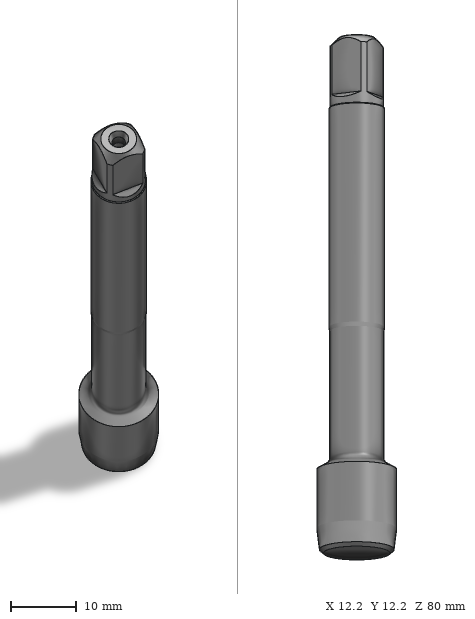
import cadquery as cq
import math

total_length = 80.0

head_diameter = 12.2
head_length = 13.0
tip_diameter = 11.4
tip_chamfer_width = 0.6
tip_chamfer_height = 0.6
lead_length = 3.8

neck_diameter = 8.2
shoulder_angle = 30.0
neck_fillet = 1.2

shank_diameter = 8.5
shank_start = 35.0
shank_end = 69.0
shank_run_in = 0.6
shank_end_chamfer = 0.2

collar_diameter = 8.2
square_width = 6.4
square_length = 9.0
square_runout_angle = 40.0
square_end_diameter = 5.4

centre_diameter = 2.0
centre_mouth_diameter = 3.0
centre_depth = 2.4
countersink_angle = 60.0
drill_point_angle = 118.0


def make_head():
    """Cylindrical head with a tapered lead and a chamfered tip."""
    head_radius = head_diameter / 2
    tip_radius = tip_diameter / 2
    return (
        cq.Workplane("XZ")
        .moveTo(0, 0)
        .lineTo(tip_radius - tip_chamfer_width, 0)
        .lineTo(tip_radius, tip_chamfer_height)
        .lineTo(head_radius, lead_length)
        .lineTo(head_radius, head_length)
        .lineTo(0, head_length)
        .close()
        .revolve(360, (0, 0, 0), (0, 1, 0))
    )


def make_shank_blank():
    """Revolved shoulder, neck, shank and collar, with a 45 degree chamfer at the drive end."""
    neck_radius = neck_diameter / 2
    shank_radius = shank_diameter / 2
    collar_radius = collar_diameter / 2
    end_radius = square_end_diameter / 2
    end_chamfer = collar_radius - end_radius

    slope = math.radians(shoulder_angle)
    turn = math.pi / 2 - slope
    arc_end_radius = neck_radius + neck_fillet * (1 - math.cos(turn))
    arc_end_z = head_length + (head_diameter / 2 - arc_end_radius) * math.tan(slope)
    arc_start_z = arc_end_z + neck_fillet * math.sin(turn)
    arc_middle = (
        neck_radius + neck_fillet * (1 - math.cos(turn / 2)),
        arc_start_z - neck_fillet * math.sin(turn / 2),
    )
    return (
        cq.Workplane("XZ")
        .moveTo(0, head_length)
        .lineTo(head_diameter / 2, head_length)
        .lineTo(arc_end_radius, arc_end_z)
        .threePointArc(arc_middle, (neck_radius, arc_start_z))
        .lineTo(neck_radius, shank_start - shank_run_in)
        .lineTo(shank_radius, shank_start)
        .lineTo(shank_radius, shank_end)
        .lineTo(collar_radius, shank_end + shank_end_chamfer)
        .lineTo(collar_radius, total_length - end_chamfer)
        .lineTo(end_radius, total_length)
        .lineTo(0, total_length)
        .close()
        .revolve(360, (0, 0, 0), (0, 1, 0))
    )


def make_flat_cutter():
    """Cutter for the +X flat of the square, with a sloped runout at its foot."""
    flat_x = square_width / 2
    outer_x = shank_diameter / 2
    foot_z = total_length - square_length
    runout_drop = (outer_x - flat_x) * math.tan(math.radians(square_runout_angle))
    return (
        cq.Workplane("XZ")
        .moveTo(flat_x, foot_z)
        .lineTo(outer_x, foot_z - runout_drop)
        .lineTo(outer_x, total_length)
        .lineTo(flat_x, total_length)
        .close()
        .extrude(shank_diameter / 2, both=True)
    )


def make_centre_hole():
    """Blind drilled hole with a countersunk mouth and a conical bottom."""
    hole_radius = centre_diameter / 2
    mouth_radius = centre_mouth_diameter / 2
    countersink_depth = (mouth_radius - hole_radius) / math.tan(math.radians(countersink_angle / 2))
    point_length = hole_radius / math.tan(math.radians(drill_point_angle / 2))
    hole_bottom = total_length - centre_depth
    return (
        cq.Workplane("XZ")
        .moveTo(0, total_length)
        .lineTo(mouth_radius, total_length)
        .lineTo(hole_radius, total_length - countersink_depth)
        .lineTo(hole_radius, hole_bottom)
        .lineTo(0, hole_bottom - point_length)
        .close()
        .revolve(360, (0, 0, 0), (0, 1, 0))
    )


def make_shank():
    """Shank with the four flats of the square drive and the centre hole."""
    body = make_shank_blank()
    for angle in (0, 90, 180, 270):
        body = body.cut(make_flat_cutter().rotate((0, 0, 0), (0, 0, 1), angle))
    return body.cut(make_centre_hole())


head = make_head()
shank = make_shank()

result = cq.Compound.makeCompound([head.val(), *shank.vals()])